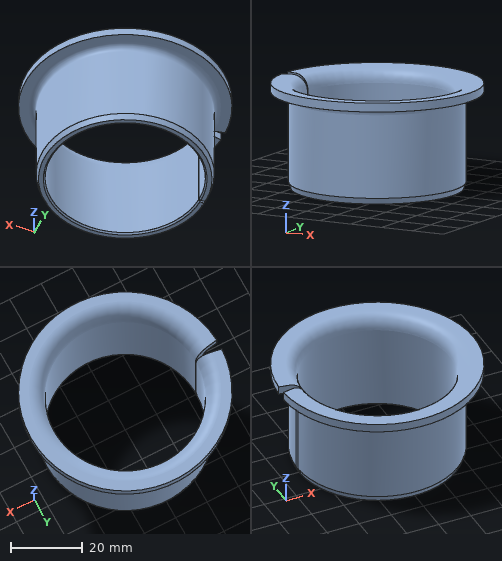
import cadquery as cq
import math

flange_radius = 30.0
height = 30.0
bore_radius = 22.5
wall = 2.5
bend_radius = 4.5
chamfer_height = 1.8
chamfer_angle = 20.0
bore_chamfer = 0.5
slit_half_angle = 10.0
slit_half_width_at_bore = 0.2

body_radius = bore_radius + wall
outer_bend_radius = bend_radius - wall
bend_center_radius = bore_radius + bend_radius
bend_center_z = height - bend_radius
chamfer_inset = chamfer_height * math.tan(math.radians(chamfer_angle))
diagonal = math.sqrt(0.5)


def flanged_sleeve():
    """Revolve the constant-thickness wall that bends outward into the flange."""
    outer_mid = (
        bend_center_radius - outer_bend_radius * diagonal,
        bend_center_z + outer_bend_radius * diagonal,
    )
    inner_mid = (
        bend_center_radius - bend_radius * diagonal,
        bend_center_z + bend_radius * diagonal,
    )
    return (
        cq.Workplane("XZ")
        .moveTo(bore_radius + bore_chamfer, 0)
        .lineTo(body_radius - chamfer_inset, 0)
        .lineTo(body_radius, chamfer_height)
        .lineTo(body_radius, bend_center_z)
        .threePointArc(outer_mid, (bend_center_radius, height - wall))
        .lineTo(flange_radius, height - wall)
        .lineTo(flange_radius, height)
        .lineTo(bend_center_radius, height)
        .threePointArc(inner_mid, (bore_radius, bend_center_z))
        .lineTo(bore_radius, bore_chamfer)
        .close()
        .revolve(360, (0, 0), (0, 1))
        .rotate((0, 0, 0), (0, 0, 1), 180)
    )


def wedge_slit():
    """Full-height wedge on the -X side, widening outward from the bore."""
    slope = math.tan(math.radians(slit_half_angle))
    apex_x = slit_half_width_at_bore / slope - bore_radius
    end_x = -flange_radius - wall
    end_half_width = (apex_x - end_x) * slope
    return (
        cq.Workplane("XY")
        .polyline([(apex_x, 0), (end_x, end_half_width), (end_x, -end_half_width)])
        .close()
        .extrude(height)
    )


result = flanged_sleeve().cut(wedge_slit())